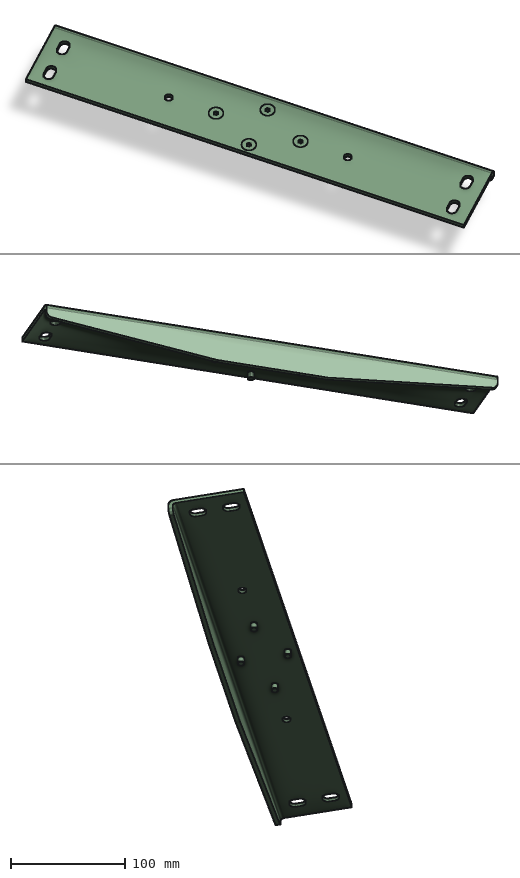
import cadquery as cq
import math

length = 416.0
depth = 68.0
height = 30.0
thickness = 4.0
bend_inner_radius = 3.0
bend_outer_radius = 5.0

flange_end_height = 13.5
flange_flat_length = 102.5
flange_corner_radius = 5.0

pattern_y = 30.0
slot_width = 9.0
slot_length = 15.0
slot_spacing_x = 383.0
slot_spacing_y = 30.0
hole_diameter = 7.0
hole_spacing = 170.0

screw_spacing_x = 80.3
screw_spacing_y = 42.0
screw_diameter = 6.0
screw_length = 10.0
screw_tip_chamfer = 0.5
head_diameter = 13.0
head_height = (head_diameter - screw_diameter) / 2
socket_across_flats = 3.7
socket_depth = 2.0

screw_positions = [
    (-screw_spacing_x / 2, pattern_y),
    (screw_spacing_x / 2, pattern_y),
    (0, pattern_y - screw_spacing_y / 2),
    (0, pattern_y + screw_spacing_y / 2),
]


def make_bent_sheet():
    """L-shaped sheet with a rounded bend, as long as the bracket."""
    sheet = (
        cq.Workplane("YZ")
        .polyline([
            (0, 0),
            (depth, 0),
            (depth, -height),
            (depth - thickness, -height),
            (depth - thickness, -thickness),
            (0, -thickness),
        ])
        .close()
        .extrude(length / 2, both=True)
    )
    inner_edge = cq.selectors.NearestToPointSelector((0, depth - thickness, -thickness))
    outer_edge = cq.selectors.NearestToPointSelector((0, depth, 0))
    sheet = sheet.edges("|X").edges(inner_edge).fillet(bend_inner_radius)
    return sheet.edges("|X").edges(outer_edge).fillet(bend_outer_radius)


def make_flange_envelope():
    """Front outline of the bracket: ends taper down to a flat middle."""
    envelope = (
        cq.Workplane("XZ")
        .polyline([
            (-length / 2, 0),
            (length / 2, 0),
            (length / 2, -flange_end_height),
            (flange_flat_length / 2, -height),
            (-flange_flat_length / 2, -height),
            (-length / 2, -flange_end_height),
        ])
        .close()
        .extrude(-depth)
    )
    for side in (-1, 1):
        corner = cq.selectors.NearestToPointSelector(
            (side * length / 2, depth / 2, -flange_end_height)
        )
        envelope = envelope.edges("|Y").edges(corner).fillet(flange_corner_radius)
    return envelope


def make_plate_openings():
    """Cutters for the four slots and the two plain holes."""
    slots = (
        cq.Workplane("XY")
        .center(0, pattern_y)
        .rarray(slot_spacing_x, slot_spacing_y, 2, 2)
        .slot2D(slot_length, slot_width, 90)
        .extrude(-thickness)
    )
    holes = (
        cq.Workplane("XY")
        .center(0, pattern_y)
        .rarray(hole_spacing, 4, 2, 1)
        .circle(hole_diameter / 2)
        .extrude(-thickness)
    )
    return slots.add(holes).combine()


def make_screw_blank(x, y):
    """Screw without its socket, with the head flush at the top face."""
    shank_radius = screw_diameter / 2
    return (
        cq.Workplane("XZ")
        .polyline([
            (0, 0),
            (head_diameter / 2, 0),
            (shank_radius, -head_height),
            (shank_radius, -screw_length + screw_tip_chamfer),
            (shank_radius - screw_tip_chamfer, -screw_length),
            (0, -screw_length),
        ])
        .close()
        .revolve(360, (0, 0), (0, 1))
        .translate((x, y, 0))
    )


def make_screw(x, y):
    """Countersunk screw with a hexagonal socket in its head."""
    socket_across_corners = socket_across_flats / math.cos(math.pi / 6)
    socket = (
        cq.Workplane("XY")
        .center(x, y)
        .polygon(6, socket_across_corners)
        .extrude(-socket_depth)
    )
    return make_screw_blank(x, y).cut(socket)


def make_bracket():
    """Bent sheet trimmed to outline, with openings and screw seats."""
    bracket = make_bent_sheet().intersect(make_flange_envelope())
    bracket = bracket.cut(make_plate_openings())
    for x, y in screw_positions:
        bracket = bracket.cut(make_screw_blank(x, y))
    return bracket


bracket = make_bracket()
screws = [make_screw(x, y).val() for x, y in screw_positions]
result = cq.Compound.makeCompound([bracket.val(), *screws])